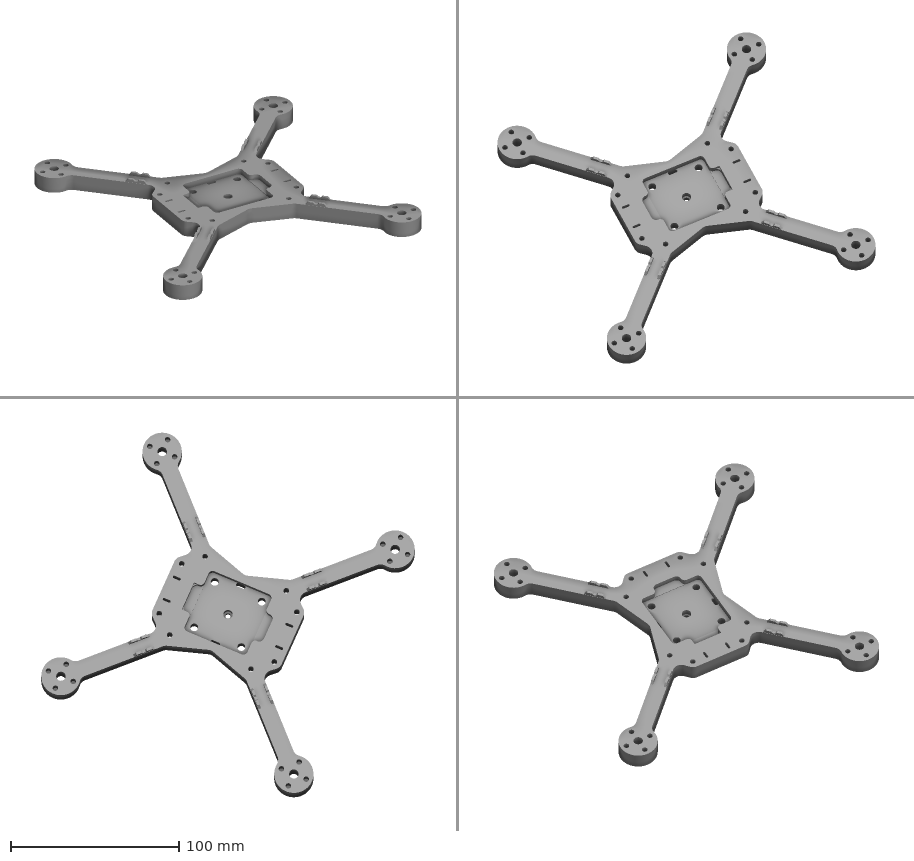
import cadquery as cq
import math

span = 174.5
plate_thickness = 10.0
arm_width = 10.1
blend_radius = 5.0
motor_pad_diameter = 23.4
motor_center = (span - motor_pad_diameter) / 2
diagonal = math.sqrt(2)
motor_reach = motor_center * diagonal
arm_edge_offset = arm_width / diagonal

body_half_length = 41.9
end_corner_x = 18.7
notch_x = 26.2
flank_corner_y = 26.4
waist_half_width = 25.1

motor_shaft_diameter = 5.5
motor_screw_diameter = 3.3
motor_screw_circle_radius = 8.0
motor_screw_depth = 5.0

frame_hole_diameter = 3.3
inner_frame_hole = 26.4
outer_frame_hole_x = 16.8
outer_frame_hole_y = 37.3
strap_slot_width = 1.5
strap_slot_length = 5.0
strap_slot_x = 7.5
strap_slot_y = 36.5

pocket_size = 40.5
pocket_depth = 3.8
pocket_corner_radius = 2.6
tab_width = 18.2
tab_end_y = 26.0
tab_depth = 3.5
tab_corner_radius = 3.1
tab_mouth_radius = 2.5
square_corner_depth = 2.0

board_hole_diameter = 4.7
board_hole_spacing = 30.5
center_bore_diameter = 5.5
center_hole_diameter = 3.3
center_bore_depth = 3.5
edge_slot_width = 2.1
edge_slot_length = 6.0

rail_height = 2.1
rail_width = 1.5
rail_inset = 0.2
rail_length = 13.3
rail_top_length = 9.8
rail_center_reach = 55.3
valley_length = 3.5
valley_floor_length = 1.7
valley_floor_height = 1.0

arm_angles = [45, 135, 225, 315]
screws_per_motor = 4
signs = (-1, 1)
position_tolerance = 0.02


def mirrored(x, y):
    """The point and its mirror images in all four quadrants."""
    return [(sx * x, sy * y) for sx in signs for sy in signs]


def through_cut(sketch):
    """Tool reaching through the plate from a 2D outline at the bottom face."""
    return sketch.extrude(plate_thickness)


def make_arm(angle):
    """Motor pad and bar reaching out from the centre."""
    base = cq.Workplane("XY")
    pad = base.center(motor_reach, 0).circle(motor_pad_diameter / 2).extrude(plate_thickness)
    bar = base.center(motor_reach / 2, 0).rect(motor_reach, arm_width).extrude(plate_thickness)
    return pad.union(bar).rotate((0, 0, 0), (0, 0, 1), angle)


def make_plate():
    """Central body with four arms, all outline corners blended."""
    flank_corner_x = flank_corner_y + arm_edge_offset
    notch_y = notch_x + arm_edge_offset
    upper_right = [
        (waist_half_width, 0),
        (flank_corner_x, flank_corner_y),
        (notch_x, notch_y),
        (end_corner_x, body_half_length),
    ]
    upper_left = [(-x, y) for x, y in reversed(upper_right)]
    lower = [(-x, -y) for x, y in (upper_right + upper_left)[1:-1]]
    plate = cq.Workplane("XY").polyline(upper_right + upper_left + lower).close().extrude(plate_thickness)
    for angle in arm_angles:
        plate = plate.union(make_arm(angle))

    def is_outline_corner(edge):
        center = edge.Center()
        return math.hypot(center.x, center.y) < motor_reach

    return plate.edges("|Z").filter(is_outline_corner).fillet(blend_radius)


def recess(width, length, depth):
    """Rectangular cutting block, centred on Z, reaching down from the top face."""
    top = cq.Workplane("XY", origin=(0, 0, plate_thickness))
    return top.rect(width, length).extrude(-depth)


def make_pocket():
    """Cutting tool for the square pocket and its two tabs."""
    square = recess(pocket_size, pocket_size, pocket_depth).edges("|Z").fillet(pocket_corner_radius)
    tabs = recess(tab_width, 2 * tab_end_y, tab_depth).edges("|Z").fillet(tab_corner_radius)
    band = recess(pocket_size - 2 * pocket_corner_radius, pocket_size, tab_depth)

    def is_mouth(edge):
        center = edge.Center()
        return math.hypot(abs(center.x) - tab_width / 2, abs(center.y) - pocket_size / 2) < position_tolerance

    tabs = tabs.union(band).edges("|Z").filter(is_mouth).fillet(tab_mouth_radius)
    corners = recess(tab_width, tab_corner_radius, square_corner_depth)
    corners = corners.translate((0, -(tab_end_y - tab_corner_radius / 2), 0))
    return square.union(tabs).union(corners)


def make_rail():
    """One rail along X, centred on the origin, its foot on the XY plane."""
    half = [
        (rail_length / 2, 0),
        (rail_top_length / 2, rail_height),
        (valley_length / 2, rail_height),
        (valley_floor_length / 2, valley_floor_height),
    ]
    profile = half + [(-x, z) for x, z in reversed(half)]
    return cq.Workplane("XZ").polyline(profile).close().extrude(rail_width / 2, both=True)


result = make_plate()

result = result.cut(make_pocket())

motor_points = mirrored(motor_center, motor_center)
result = result.cut(through_cut(cq.Workplane("XY").pushPoints(motor_points).circle(motor_shaft_diameter / 2)))
for x, y in motor_points:
    screws = (
        cq.Workplane("XY", origin=(x, y, plate_thickness))
        .polarArray(motor_screw_circle_radius, 0, 360, screws_per_motor)
        .circle(motor_screw_diameter / 2).extrude(-motor_screw_depth)
    )
    result = result.cut(screws)

frame_points = mirrored(inner_frame_hole, inner_frame_hole) + mirrored(outer_frame_hole_x, outer_frame_hole_y)
result = result.cut(through_cut(cq.Workplane("XY").pushPoints(frame_points).circle(frame_hole_diameter / 2)))

strap_points = mirrored(strap_slot_x, strap_slot_y)
result = result.cut(
    through_cut(cq.Workplane("XY").pushPoints(strap_points).slot2D(strap_slot_length, strap_slot_width, 90))
)

board_points = mirrored(board_hole_spacing / 2, board_hole_spacing / 2)
result = result.cut(through_cut(cq.Workplane("XY").pushPoints(board_points).circle(board_hole_diameter / 2)))

edge_slot_x = (pocket_size - edge_slot_width) / 2
edge_slot_points = [(-edge_slot_x, 0), (edge_slot_x, 0)]
result = result.cut(
    through_cut(cq.Workplane("XY").pushPoints(edge_slot_points).slot2D(edge_slot_length, edge_slot_width, 90))
)

result = result.cut(through_cut(cq.Workplane("XY").circle(center_hole_diameter / 2)))
center_bore = (
    cq.Workplane("XY", origin=(0, 0, plate_thickness - pocket_depth))
    .circle(center_bore_diameter / 2).extrude(-center_bore_depth)
)
result = result.cut(center_bore)

rail_offset = (arm_width - rail_width) / 2 - rail_inset
for angle in arm_angles:
    for side in signs:
        rail = make_rail().translate((rail_center_reach, side * rail_offset, plate_thickness))
        result = result.union(rail.rotate((0, 0, 0), (0, 0, 1), angle))